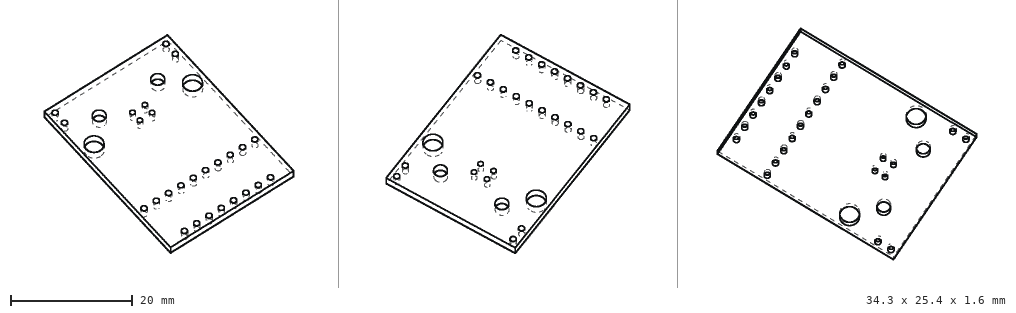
import cadquery as cq

length = 34.3
pitch = length / 13.5
width = 10 * pitch
thickness = 1.6

header_diameter = 1.03
pin_diameter = 0.93
peg_diameter = 2.3
mount_diameter = 3.3

corner_columns = (0.5 * pitch, 1.5 * pitch)
long_header_x = 10 * pitch
short_header_x = 13 * pitch
mount_x = 4 * pitch
peg_x = 6.15
pin_columns = (8.9, 10.9)

long_header_count = 10
short_header_count = 8
corner_row = 4.5 * pitch
mount_row = 4 * pitch
peg_row = 6.05
pin_row = 1.27


def mirrored_pairs(columns, row):
    """Points at +row and -row for each column."""
    return [(x, y) for x in columns for y in (row, -row)]


def header_column(x, count):
    """A column of points one pitch apart, centred on the centre line."""
    return [(x, (i - (count - 1) / 2) * pitch) for i in range(count)]


def drill(board, points, diameter):
    """Drill through holes at points measured from the middle of the left edge."""
    centred = [(x - length / 2, y) for x, y in points]
    return board.faces(">Z").workplane(origin=(0, 0, 0)).pushPoints(centred).hole(diameter)


result = cq.Workplane("XY").box(length, width, thickness)

header_points = (
    mirrored_pairs(corner_columns, corner_row)
    + header_column(long_header_x, long_header_count)
    + header_column(short_header_x, short_header_count)
)
result = drill(result, header_points, header_diameter)

result = drill(result, mirrored_pairs(pin_columns, pin_row), pin_diameter)
result = drill(result, mirrored_pairs((peg_x,), peg_row), peg_diameter)

result = drill(result, mirrored_pairs((mount_x,), mount_row), mount_diameter)